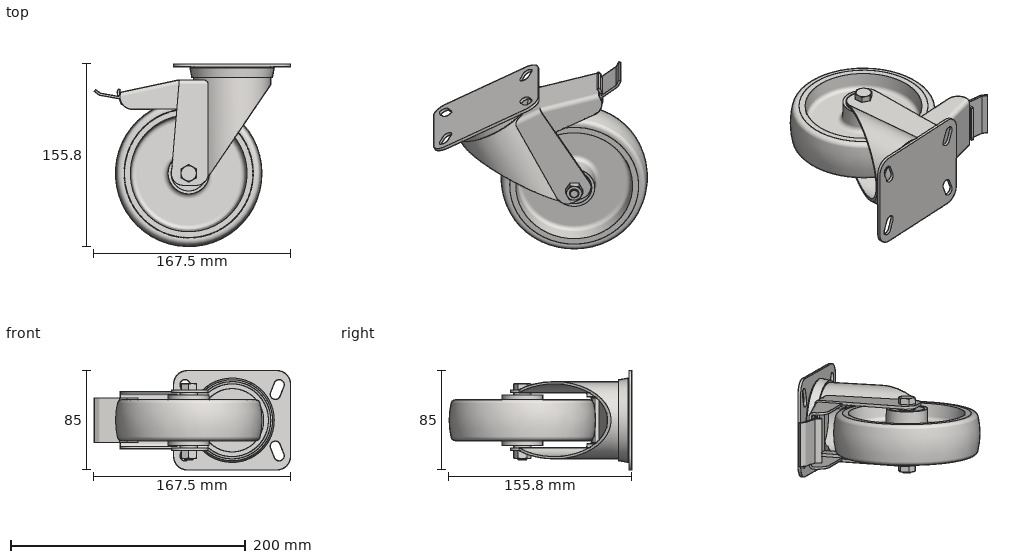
import cadquery as cq
import math


swivel_x = 37.0

plate_length = 100.0
plate_width = 85.0
plate_thickness = 2.5
plate_corner_radius = 12.0
plate_top_y = 93.34
slot_width = 8.5
slot_inner_end = (36.9, 22.1)
slot_outer_end = (40.1, 30.3)
neck_radius = 35.0

ring_top_y = 90.0
ring_bottom_y = 81.8
ring_top_radius = 36.0
ring_bottom_radius = 34.5
head_outer_radius = 33.0
head_inner_radius = 31.0
head_bore_radius = 27.0

fork_half_width = 26.0
fork_wall = 2.5
fork_top_y = 79.8
fork_back_x = -8.0
fork_bottom_y = -10.2
fork_bottom_x = -15.6
fork_corner_radius = 10.0
bend_radius = 4.0
cut_slope = 1.474
cut_top_y = 75.6

bracket_half_width = 24.5
bracket_wall = 2.0
bracket_end_x = -58.5
bracket_end_y = 69.1
bracket_bottom_y = 54.4
bracket_corner_radius = 10.5
lip_depth = 2.6
lip_length = 14.0
lip_bottom_y = 54.9

pedal_width = 38.0
hook_width = 32.4
pedal_sheet = 2.0
tread_tip = (-79.95, 70.68)
tread_bend = (-75.6, 67.45)
tread_entry = (-58.3, 64.4)
curl_corner = (-56.7, 59.1)
curl_end = (-53.0, 61.2)
curl_radius = 1.9
tread_bend_radius = 3.0
hook_tip = (-59.1, 71.6)
hook_bend = (-60.0, 69.5)
tongue_foot = (-59.6, 65.2)
tongue_start_x = -57.5
tongue_step_x = -43.4
tongue_end_x = -25.5

wheel_radius = 62.5
wheel_half_width = 17.5
tread_edge_radius = 60.8
tread_edge_z = 14.6
shoulder_radius = 56.9
tyre_bore_radius = 55.0
rim_outer_radius = 54.9
rim_mouth_radius = 49.8
rim_floor_radius = 48.0
rim_fillet = 4.0
disc_half_thickness = 3.0
hub_radius = 17.5
hub_root_radius = 17.9
hub_half_length = 21.7
hub_fillet = 4.4
hub_recess_radius = 15.0
hub_recess_depth = 0.5

sleeve_radius = 7.5
bolt_radius = 4.0
bolt_tip_radius = 6.65 / 2
bolt_tip_z = -33.9
hex_across_flats = 13.0
head_height = 5.3
nut_height = 6.7
hex_chamfer_slope = math.tan(math.radians(30))

plate_bottom_y = plate_top_y - plate_thickness
fork_right_x = swivel_x - math.sqrt(head_outer_radius**2 - fork_half_width**2)
fork_inner_half_width = fork_half_width - fork_wall
web_slope = (fork_top_y - bracket_end_y) / (fork_back_x - bracket_end_x)
hex_corner_radius = hex_across_flats / math.sqrt(3)


def fork_edge_x(y):
    """X of the leaning rear edge of the fork arms at height y."""
    lean = (fork_back_x - fork_bottom_x) / (fork_top_y - fork_bottom_y)
    return fork_bottom_x + lean * (y - fork_bottom_y)


def web_y(x):
    """Outer height of the sloping bracket web at x."""
    return bracket_end_y + web_slope * (x - bracket_end_x)


def prism(outline, half_width):
    """XY outline extruded symmetrically about Z = 0."""
    return outline.extrude(half_width, both=True)


def swivel_disc(radius, bottom_y, top_y, top_radius=None):
    """Round or tapered disc on the swivel axis."""
    profile = [(0, bottom_y), (radius, bottom_y), (top_radius or radius, top_y), (0, top_y)]
    disc = cq.Workplane("XY").polyline(profile).close().revolve(360, (0, 0, 0), (0, 1, 0))
    return disc.translate((swivel_x, 0, 0))


def make_plate():
    plate = (
        cq.Workplane("XY")
        .box(plate_length, plate_thickness, plate_width)
        .edges("|Y")
        .fillet(plate_corner_radius)
        .translate((swivel_x, plate_top_y - plate_thickness / 2, 0))
    )
    plate = plate.union(swivel_disc(neck_radius, ring_top_y, plate_bottom_y))
    run = slot_outer_end[0] - slot_inner_end[0]
    rise = slot_outer_end[1] - slot_inner_end[1]
    tilt = math.degrees(math.atan2(rise, run))
    centre_x = (slot_outer_end[0] + slot_inner_end[0]) / 2
    centre_z = (slot_outer_end[1] + slot_inner_end[1]) / 2
    for side_x in (-1, 1):
        for side_z in (-1, 1):
            slot = (
                cq.Workplane("XZ")
                .center(swivel_x + side_x * centre_x, side_z * centre_z)
                .slot2D(math.hypot(run, rise) + slot_width, slot_width, side_x * side_z * tilt)
                .extrude(-plate_top_y)
            )
            plate = plate.cut(slot)
    return plate


def fork_channel(half_width, top_y, radius):
    """U-channel block of the arms, with the bend rounded along its top edges."""
    outline = (
        cq.Workplane("XY")
        .moveTo(fork_edge_x(top_y), top_y)
        .lineTo(fork_right_x, top_y)
        .lineTo(fork_right_x, fork_bottom_y)
        .lineTo(fork_bottom_x, fork_bottom_y)
        .close()
    )
    block = prism(outline, half_width)
    return block.edges("|X").edges(">Y").fillet(radius)


def make_arms():
    outer = fork_channel(fork_half_width, fork_top_y, bend_radius)
    outer = outer.edges("|Z").edges("<Y").fillet(fork_corner_radius)
    collar = swivel_disc(head_outer_radius, fork_top_y - bend_radius, ring_bottom_y)
    inner = fork_channel(fork_inner_half_width, fork_top_y - fork_wall, bend_radius - fork_wall)
    return outer.union(collar).cut(inner)


def make_head():
    floor_y = fork_top_y - fork_wall
    shell = swivel_disc(head_outer_radius, fork_bottom_y, ring_bottom_y)
    shell = shell.cut(swivel_disc(head_inner_radius, fork_bottom_y, floor_y))
    front_x = swivel_x + head_outer_radius
    skirt_outline = (
        cq.Workplane("XY")
        .moveTo(fork_right_x, ring_bottom_y)
        .lineTo(front_x, ring_bottom_y)
        .lineTo(front_x, cut_top_y)
        .lineTo(fork_right_x, cut_top_y - cut_slope * (front_x - fork_right_x))
        .close()
    )
    skirt = shell.intersect(prism(skirt_outline, head_outer_radius))
    ring = swivel_disc(ring_bottom_radius, ring_bottom_y, ring_top_y, ring_top_radius)
    return skirt.union(ring)


def bracket_block(half_width, inset, radius):
    """Block under the sloping bracket web, lowered by inset, with rounded top edges."""
    drop = inset * math.hypot(1, web_slope)
    outline = (
        cq.Workplane("XY")
        .moveTo(bracket_end_x, bracket_bottom_y)
        .lineTo(bracket_end_x, web_y(bracket_end_x) - drop)
        .lineTo(fork_back_x, web_y(fork_back_x) - drop)
        .lineTo(fork_edge_x(lip_bottom_y), lip_bottom_y)
        .close()
    )
    block = prism(outline, half_width)
    return block.faces(">Y").edges("not(|Z)").fillet(radius)


def make_bracket():
    outer = bracket_block(bracket_half_width, 0, bend_radius)
    outer = outer.edges("|Z").edges("<X and <Y").fillet(bracket_corner_radius)
    inner_half_width = bracket_half_width - bracket_wall
    inner = bracket_block(inner_half_width, bracket_wall, bend_radius - bracket_wall)
    return outer.cut(inner)


def make_lip():
    """Inward lip around the channel where the bracket meets the arms."""
    outer_half_width = fork_half_width - fork_wall / 2
    inner_half_width = bracket_half_width - bracket_wall - lip_depth
    top_y = fork_top_y - fork_wall / 2

    def slab(slab_top_y, half_width):
        outline = (
            cq.Workplane("XY")
            .moveTo(fork_edge_x(lip_bottom_y), lip_bottom_y)
            .lineTo(fork_edge_x(slab_top_y), slab_top_y)
            .lineTo(fork_edge_x(slab_top_y) + lip_length, slab_top_y)
            .lineTo(fork_edge_x(lip_bottom_y) + lip_length, lip_bottom_y)
            .close()
        )
        return prism(outline, half_width)

    lip = slab(top_y, outer_half_width).edges("|X").edges(">Y").fillet(bend_radius - fork_wall / 2)
    return lip.cut(slab(fork_top_y - bracket_wall - lip_depth, inner_half_width))


def make_fork():
    fork = make_arms().union(make_head()).union(make_bracket()).union(make_lip())
    fork = fork.cut(swivel_disc(head_bore_radius, fork_top_y - bend_radius, ring_top_y))
    bolt_hole = cq.Workplane("XY").circle(bolt_radius).extrude(fork_half_width, both=True)
    return fork.cut(bolt_hole)


def strip(path, width):
    """Bent sheet of the given width along Z whose centreline is the XY path."""
    half = pedal_sheet / 2
    directions = []
    for (x0, y0), (x1, y1) in zip(path, path[1:]):
        directions.append(math.atan2(y1 - y0, x1 - x0))
    left = []
    right = []
    for i, (x, y) in enumerate(path):
        before = directions[max(i - 1, 0)]
        after = directions[min(i, len(directions) - 1)]
        normal = (before + after) / 2 + math.pi / 2
        reach = half / math.cos((after - before) / 2)
        left.append((x + reach * math.cos(normal), y + reach * math.sin(normal)))
        right.append((x - reach * math.cos(normal), y - reach * math.sin(normal)))
    outline = cq.Workplane("XY").polyline(left + right[::-1]).close()
    return prism(outline, width / 2)


def round_bend(sheet, bend, toward_y, radius):
    """Round the sheet edge above (+1) or below (-1) a bend of the centreline."""
    beside_bend = (bend[0], bend[1] + toward_y * pedal_sheet, 0)
    return sheet.edges(cq.selectors.NearestToPointSelector(beside_bend)).fillet(radius)


def make_pedal():
    tread = strip([tread_tip, tread_bend, tread_entry, curl_corner, curl_end], pedal_width)
    tread = round_bend(tread, tread_bend, -1, tread_bend_radius)
    tread = round_bend(tread, curl_corner, -1, curl_radius)

    drop = (bracket_wall + pedal_sheet / 2) * math.hypot(1, web_slope)

    def tongue_point(x):
        return (x, web_y(x) - drop)

    tongue_start = tongue_point(tongue_start_x)
    wide_tongue = strip([tongue_foot, tongue_start, tongue_point(tongue_step_x)], pedal_width)
    narrow_tongue = strip([tongue_start, tongue_point(tongue_end_x)], hook_width)
    hook = strip([hook_tip, hook_bend, tongue_foot], hook_width)
    return tread.union(wide_tongue).union(narrow_tongue).union(hook)


def make_tyre():
    run = tread_edge_radius - shoulder_radius
    drop = wheel_half_width - tread_edge_z
    arc_radius = (run**2 + drop**2) / (2 * drop)
    half_sweep = math.asin(run / arc_radius) / 2
    middle_radius = shoulder_radius + arc_radius * math.sin(half_sweep)
    middle_z = wheel_half_width - arc_radius * (1 - math.cos(half_sweep))
    profile = (
        cq.Workplane("XZ")
        .moveTo(tyre_bore_radius, -wheel_half_width)
        .lineTo(tyre_bore_radius, wheel_half_width)
        .lineTo(shoulder_radius, wheel_half_width)
        .threePointArc((middle_radius, middle_z), (tread_edge_radius, tread_edge_z))
        .threePointArc((wheel_radius, 0), (tread_edge_radius, -tread_edge_z))
        .threePointArc((middle_radius, -middle_z), (shoulder_radius, -wheel_half_width))
        .close()
    )
    return profile.revolve(360, (0, 0, 0), (0, 1, 0))


def make_rim():
    profile = [
        (sleeve_radius, 0),
        (sleeve_radius, hub_half_length - hub_recess_depth),
        (hub_recess_radius, hub_half_length - hub_recess_depth),
        (hub_recess_radius, hub_half_length),
        (hub_radius, hub_half_length),
        (hub_root_radius, disc_half_thickness),
        (rim_floor_radius, disc_half_thickness),
        (rim_mouth_radius, wheel_half_width),
        (rim_outer_radius, wheel_half_width),
        (rim_outer_radius, 0),
    ]
    half = cq.Workplane("XZ").polyline(profile).close().revolve(360, (0, 0, 0), (0, 1, 0))

    def circle_at(radius):
        span = 0.1
        return cq.selectors.BoxSelector(
            (-radius - span, -radius - span, disc_half_thickness - span),
            (radius + span, radius + span, disc_half_thickness + span),
            boundingbox=True,
        )

    half = half.edges(circle_at(hub_root_radius)).fillet(hub_fillet)
    inner_circles = circle_at(hub_root_radius + hub_fillet + 1)
    half = half.edges(circle_at(rim_floor_radius) - inner_circles).fillet(rim_fillet)
    return half.union(half.mirror("XY"))


def hexagon(base_z, height):
    """Hexagon standing up from base_z with its outer corners chamfered."""
    block = (
        cq.Workplane("XY")
        .polygon(6, 2 * hex_corner_radius)
        .extrude(height)
        .rotate((0, 0, 0), (0, 0, 1), 30)
    )
    flat_radius = hex_across_flats / 2
    cone_drop = (hex_corner_radius - flat_radius) * hex_chamfer_slope
    profile = [
        (0, 0),
        (hex_corner_radius, 0),
        (hex_corner_radius, height - cone_drop),
        (flat_radius, height),
        (0, height),
    ]
    cone = cq.Workplane("XZ").polyline(profile).close().revolve(360, (0, 0, 0), (0, 1, 0))
    return block.intersect(cone).translate((0, 0, base_z))


def make_axle():
    head = hexagon(fork_half_width, head_height)
    nut = hexagon(fork_half_width, nut_height).mirror("XY")
    sleeve = cq.Workplane("XY").circle(sleeve_radius).extrude(fork_inner_half_width, both=True)
    shank = (
        cq.Workplane("XY")
        .workplane(offset=bolt_tip_z)
        .circle(bolt_radius)
        .extrude(fork_half_width - bolt_tip_z)
        .faces("<Z")
        .chamfer(bolt_radius - bolt_tip_radius)
    )
    return shank.union(sleeve).union(head).union(nut)


mounting_plate = make_plate()
fork = make_fork()
pedal = make_pedal()
tyre = make_tyre()
rim = make_rim()
axle = make_axle()

result = cq.Compound.makeCompound(
    [
        mounting_plate.val(),
        fork.val(),
        pedal.val(),
        tyre.val(),
        rim.val(),
        axle.val(),
    ]
)